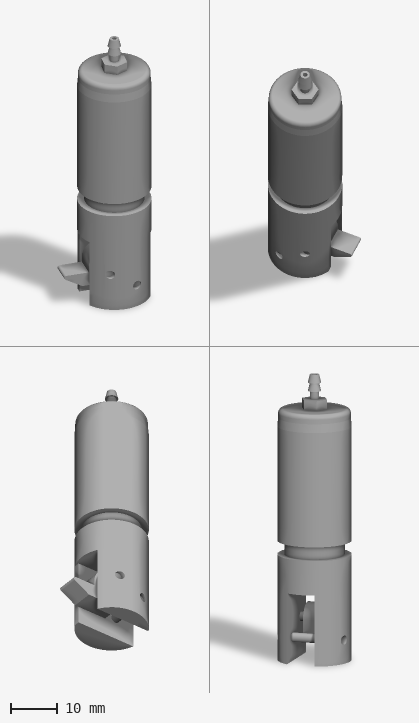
import cadquery as cq
import math

HOUSING_RADIUS = 8.0
HOUSING_HEIGHT = 55.0
NECK_RADIUS = 6.5
NECK_BOTTOM = 23.1
NECK_TOP = 26.1

CAP_RADIUS = 7.8
CAP_FILLET = 1.0
TAPER_BOTTOM = 51.1
TAPER_TOP = 53.0

SLOT_LEFT = -2.4
SLOT_RIGHT = 4.05
SLOT_TOP = 15.55

FRONT_FLAT_Y = -7.1

PIN_RADIUS = 1.0
PIN_END_X = 6.5
PIVOT_Y = -3.25
PIVOT_Z = 8.6
STOP_Y = 2.75
STOP_Z = 5.2
PIN_CENTRES = [(PIVOT_Y, PIVOT_Z), (STOP_Y, STOP_Z)]

LEVER_WIDTH = 4.9
LEVER_RADIUS = 3.3
LEVER_BOTTOM = 4.1
FINGER_TOP = 7.25
FINGER_REACH_Y = -12.05
FINGER_TIP_RADIUS = 0.5
FINGER_SLOPE = math.radians(30)

HEX_SIDES = 6
HEX_FLATS = 5.0
HEX_HEIGHT = 2.05
HEX_TURN = 25
STEM_RADIUS = 1.0
BARB_RADIUS = 1.45
BARB_LENGTH = 1.8
BARB_COUNT = 2
FITTING_TOP = 62.4
BORE_RADIUS = 0.5


def cross_cylinder(centre, half_length):
    """Cylinder of pin radius along X, centred on X = 0."""
    y, z = centre
    return (
        cq.Workplane("YZ", origin=(-half_length, y, z))
        .circle(PIN_RADIUS)
        .extrude(2 * half_length)
    )


def make_housing():
    shaft = (
        cq.Workplane("XZ")
        .moveTo(0, 0)
        .lineTo(HOUSING_RADIUS, 0)
        .lineTo(HOUSING_RADIUS, NECK_BOTTOM)
        .lineTo(NECK_RADIUS, NECK_BOTTOM)
        .lineTo(NECK_RADIUS, NECK_TOP)
        .lineTo(HOUSING_RADIUS, NECK_TOP)
        .lineTo(HOUSING_RADIUS, TAPER_BOTTOM)
        .lineTo(CAP_RADIUS, TAPER_TOP)
        .lineTo(CAP_RADIUS, HOUSING_HEIGHT)
        .lineTo(0, HOUSING_HEIGHT)
        .close()
        .revolve(360, (0, 0), (0, 1))
        .faces(">Z")
        .edges()
        .fillet(CAP_FILLET)
    )
    diameter = 2 * HOUSING_RADIUS
    slot = (
        cq.Workplane("XY", origin=(SLOT_LEFT, 0, 0))
        .box(SLOT_RIGHT - SLOT_LEFT, diameter, SLOT_TOP, centered=(False, True, False))
    )
    flat_depth = HOUSING_RADIUS + FRONT_FLAT_Y
    front_flat = (
        cq.Workplane("XY", origin=(0, -HOUSING_RADIUS, 0))
        .box(diameter, flat_depth, SLOT_TOP, centered=(True, False, False))
    )
    housing = shaft.cut(slot).cut(front_flat)
    for centre in PIN_CENTRES:
        housing = housing.cut(cross_cylinder(centre, HOUSING_RADIUS))
    return housing


def make_lever():
    front = PIVOT_Y - LEVER_RADIUS
    back = PIVOT_Y + LEVER_RADIUS

    tip_y = FINGER_REACH_Y + FINGER_TIP_RADIUS
    tip_z = FINGER_TOP - FINGER_TIP_RADIUS
    slope_top_y = tip_y - FINGER_TIP_RADIUS * math.sin(FINGER_SLOPE)
    slope_top_z = tip_z - FINGER_TIP_RADIUS * math.cos(FINGER_SLOPE)
    slope_bottom_y = slope_top_y + (slope_top_z - LEVER_BOTTOM) / math.tan(FINGER_SLOPE)

    lever = (
        cq.Workplane("YZ", origin=(SLOT_LEFT, 0, 0))
        .moveTo(back, LEVER_BOTTOM)
        .lineTo(back, PIVOT_Z)
        .threePointArc((PIVOT_Y, PIVOT_Z + LEVER_RADIUS), (front, PIVOT_Z))
        .lineTo(front, FINGER_TOP)
        .lineTo(tip_y, FINGER_TOP)
        .threePointArc((FINGER_REACH_Y, tip_z), (slope_top_y, slope_top_z))
        .lineTo(slope_bottom_y, LEVER_BOTTOM)
        .close()
        .extrude(LEVER_WIDTH)
    )
    return lever.cut(cross_cylinder((PIVOT_Y, PIVOT_Z), HOUSING_RADIUS))


def make_fitting():
    fitting = (
        cq.Workplane("XY", origin=(0, 0, HOUSING_HEIGHT))
        .polygon(HEX_SIDES, HEX_FLATS, circumscribed=True)
        .extrude(HEX_HEIGHT)
        .rotate((0, 0, 0), (0, 0, 1), HEX_TURN)
    )
    stem = (
        cq.Workplane("XY", origin=(0, 0, HOUSING_HEIGHT))
        .circle(STEM_RADIUS)
        .extrude(FITTING_TOP - HOUSING_HEIGHT)
    )
    fitting = fitting.union(stem)
    for index in range(BARB_COUNT):
        barb_bottom = FITTING_TOP - (index + 1) * BARB_LENGTH
        barb_base = cq.Vector(0, 0, barb_bottom)
        barb = cq.Solid.makeCone(BARB_RADIUS, STEM_RADIUS, BARB_LENGTH, pnt=barb_base)
        fitting = fitting.union(cq.Workplane(barb))
    bore = (
        cq.Workplane("XY", origin=(0, 0, HOUSING_HEIGHT))
        .circle(BORE_RADIUS)
        .extrude(FITTING_TOP - HOUSING_HEIGHT)
    )
    return fitting.cut(bore)


housing = make_housing()
lever = make_lever()
fitting = make_fitting()
pins = [cross_cylinder(centre, PIN_END_X) for centre in PIN_CENTRES]

result = cq.Compound.makeCompound(
    [housing.val(), lever.val(), fitting.val(), *[pin.val() for pin in pins]]
)